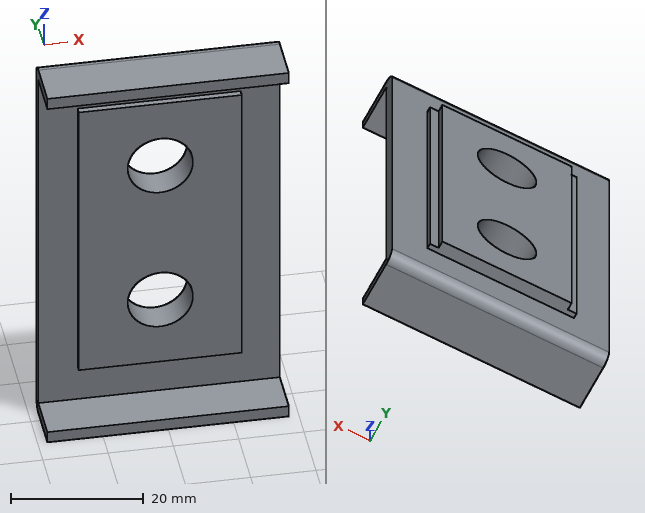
import cadquery as cq

width = 37.0
height = 64.0
channel_depth = 9.5
thickness = 1.9
bend_radius = 1.9

pad_width = 24.95
pad_height = 48.0
pad_front_proud = 1.0
total_depth = 11.5
pad_back_proud = total_depth - channel_depth

strip_width = 22.0
strip_height = pad_height
strip_rise = 1.2

hole_diameter = 10.0
hole_spacing = 24.95

web_back = channel_depth
web_front = web_back - thickness
pad_front = web_front - pad_front_proud
pad_back = web_back + pad_back_proud
strip_front = pad_back - strip_rise


def block(size_x, size_z, y_start, y_end):
    """Box centred in X and Z, spanning y_start to y_end."""
    depth = y_end - y_start
    return cq.Workplane("XY").box(size_x, depth, size_z).translate((0, y_start + depth / 2, 0))


def make_channel():
    outer = block(width, height, 0, web_back).edges("|X and >Y").fillet(bend_radius)
    return outer.cut(block(width, height - 2 * thickness, 0, web_front))


def make_pad():
    base = block(pad_width, pad_height, pad_front, strip_front)
    return base.union(block(strip_width, strip_height, strip_front, pad_back))


def make_holes():
    return (
        cq.Workplane("XZ")
        .pushPoints([(0, -hole_spacing / 2), (0, hole_spacing / 2)])
        .circle(hole_diameter / 2)
        .extrude(-total_depth)
    )


result = make_channel().union(make_pad()).cut(make_holes())